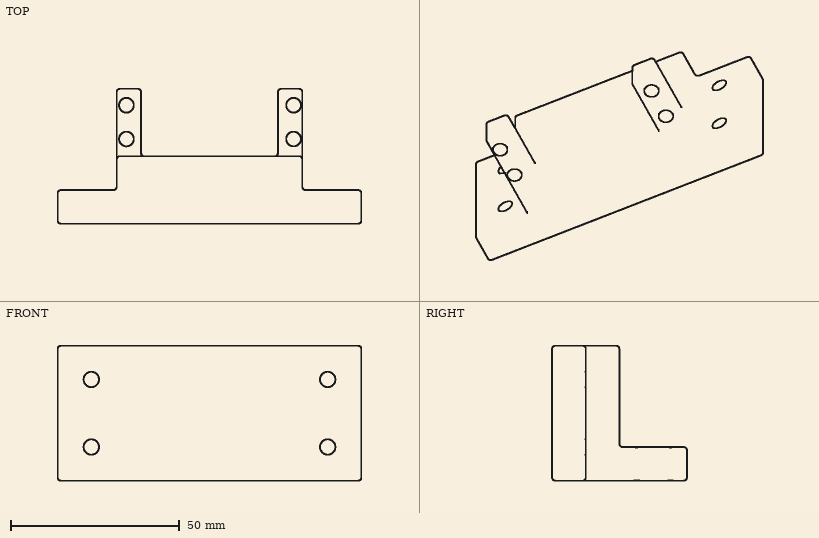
import cadquery as cq

plate_length = 90.0
plate_thickness = 10.0
height = 40.0
block_length = 55.0
block_back = 20.0
arm_width = 7.25
arm_back = 40.0
arm_height = 10.0
edge_radius = 1.0

mount_hole_diameter = 4.5
mount_hole_inset = 10.0
arm_hole_diameter = 4.3
arm_hole_spread = 49.5
arm_hole_offset = 0.15
arm_hole_tip_inset = 4.9
arm_hole_pitch = 10.0


def corner_box(length, depth, tall, x_start):
    """Box standing on Z = 0 with its front face on Y = 0."""
    return cq.Workplane("XY").box(length, depth, tall, centered=False).translate((x_start, 0, 0))


def body():
    """Front plate, central block and two low arms, rounded on every edge."""
    block_start = -block_length / 2
    block_end = block_length / 2
    solid = corner_box(plate_length, plate_thickness, height, -plate_length / 2)
    solid = solid.union(corner_box(block_length, block_back, height, block_start))
    for arm_start in (block_start, block_end - arm_width):
        solid = solid.union(corner_box(arm_width, arm_back, arm_height, arm_start))
    return solid.clean().edges().fillet(edge_radius)


def mounting_hole_cutters():
    """Through holes along Y with a rounded mouth at the front face."""
    hole_x = plate_length / 2 - mount_hole_inset
    hole_radius = mount_hole_diameter / 2
    mouth_radius = hole_radius + edge_radius
    cutter = (
        cq.Workplane("XY")
        .lineTo(mouth_radius, 0)
        .radiusArc((hole_radius, edge_radius), edge_radius)
        .lineTo(hole_radius, plate_thickness)
        .lineTo(0, plate_thickness)
        .close()
        .revolve(360, (0, 0, 0), (0, 1, 0))
    )
    cutters = []
    for x in (-hole_x, hole_x):
        for z in (mount_hole_inset, height - mount_hole_inset):
            cutters.append(cutter.translate((x, 0, z)))
    return cutters


def arm_hole_cutters():
    """Two plain vertical through holes in each arm."""
    cutter = cq.Workplane("XY").circle(arm_hole_diameter / 2).extrude(arm_height)
    outer_hole_y = arm_back - arm_hole_tip_inset
    cutters = []
    half_spread = arm_hole_spread / 2
    for x in (arm_hole_offset - half_spread, arm_hole_offset + half_spread):
        for y in (outer_hole_y, outer_hole_y - arm_hole_pitch):
            cutters.append(cutter.translate((x, y, 0)))
    return cutters


result = body()
for hole in mounting_hole_cutters() + arm_hole_cutters():
    result = result.cut(hole)